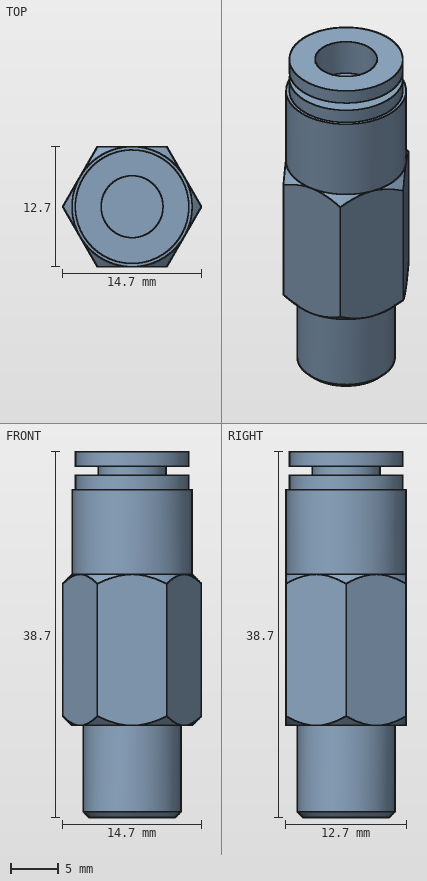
import cadquery as cq
import math

total_height = 38.67

stud_diameter = 10.35
stud_height = 9.75
stud_chamfer = 0.65

hex_across_flats = 12.7
hex_height = 15.95

barrel_diameter = hex_across_flats

flange_diameter = 12.0
flange_thickness = 1.55
neck_diameter = 7.2
neck_length = 0.92
tube_bore_diameter = 6.55

hex_across_corners = hex_across_flats / math.cos(math.pi / 6)
hex_chamfer = (hex_across_corners - hex_across_flats) / 2
hex_top = stud_height + hex_height
sleeve_height = 2 * flange_thickness + neck_length
barrel_top = total_height - sleeve_height


def cylinder(diameter, bottom, top):
    """Upright cylinder on the Z axis between two heights."""
    return cq.Workplane("XY").workplane(offset=bottom).circle(diameter / 2).extrude(top - bottom)


def make_stud():
    """Round stud with a chamfered lower end."""
    stud = cylinder(stud_diameter, 0, stud_height)
    return stud.faces("<Z").edges().chamfer(stud_chamfer)


def make_hexagon():
    """Hexagon with corners on the X axis, each corner cut back by a 45 degree cone at both ends."""
    prism = (
        cq.Workplane("XY")
        .workplane(offset=stud_height)
        .polygon(6, hex_across_corners)
        .extrude(hex_height)
    )
    envelope = cylinder(hex_across_corners, stud_height, hex_top).edges().chamfer(hex_chamfer)
    return prism.intersect(envelope)


def make_body():
    """Stud, hexagon and barrel in one piece, ending in a flat top."""
    barrel = cylinder(barrel_diameter, hex_top, barrel_top)
    return make_stud().union(make_hexagon()).union(barrel)


def make_release_sleeve():
    """Spool of two equal flanges on a neck, standing on the barrel and bored right through."""
    lower_flange = cylinder(flange_diameter, barrel_top, barrel_top + flange_thickness)
    upper_flange = cylinder(flange_diameter, total_height - flange_thickness, total_height)
    neck = cylinder(neck_diameter, barrel_top, total_height)
    tube_bore = cylinder(tube_bore_diameter, barrel_top, total_height)
    return lower_flange.union(neck).union(upper_flange).cut(tube_bore)


body = make_body()
release_sleeve = make_release_sleeve()

result = cq.Compound.makeCompound([body.val(), release_sleeve.val()])